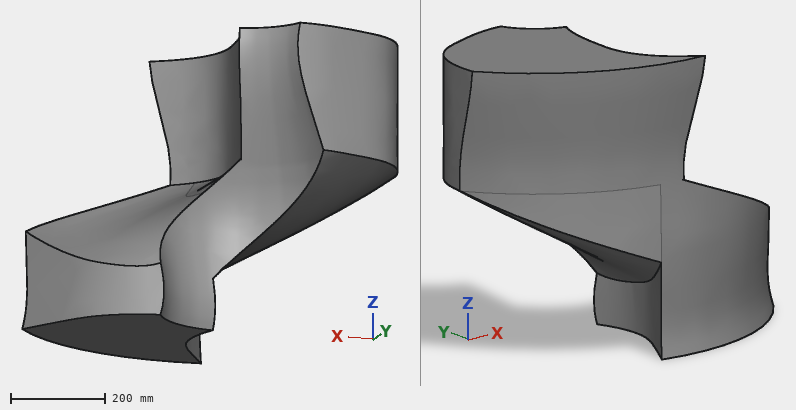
import cadquery as cq
import math

HEIGHT = 650.0
SHOULDER_Z = 378.0
HELIX_DROP = 3.4
HELIX_TURN = 95.0

AXIS_X = 10.0
AXIS_Y = 277.0

LOBE_ANGLE = 60.0

UPPER_WALL = [
    (119.0, -549.0), (44.0, -511.0), (-51.0, -423.0), (-72.0, -361.0), (-70.0, -290.5),
    (-28.0, -136.0), (12.0, -86.0),
]
LOWER_WALL = [
    (-103.0, -555.0), (-70.5, -501.0), (-16.5, -413.5), (25.0, -328.0), (29.5, -251.0),
    (14.0, -189.0), (-29.0, -107.0),
]

OUTER_WALL = [(507.0, 0), (499.0, 33.0), (498.0, 205.0), (485.0, 377.5), (485.0, 427.0), (498.0, 533.0), (512.0, HEIGHT)]
INNER_WALL = [(189.0, 0), (189.0, 115.0), (212.0, 213.0), (213.0, 295.0), (193.0, SHOULDER_Z), (139.0, HEIGHT)]


def turned(point, angle):
    """Turn a point about the ring axis."""
    x, y = point
    a = math.radians(angle)
    return (x * math.cos(a) - y * math.sin(a), x * math.sin(a) + y * math.cos(a))


def sector(wall, first, last, base=0.0):
    """Plan outline between two copies of a wall curve, turned by first and last degrees."""
    first_wall = [turned(p, first) for p in wall]
    last_wall = [turned(p, last) for p in wall]
    half_turn = (first + last) / 2
    return (
        cq.Workplane("XY", origin=(0, 0, base))
        .moveTo(*first_wall[0])
        .threePointArc(turned(wall[0], half_turn), last_wall[0])
        .spline(last_wall[1:], includeCurrent=True)
        .threePointArc(turned(wall[-1], half_turn), first_wall[-1])
        .spline(first_wall[-2::-1], includeCurrent=True)
        .close()
    )


def helical_sector(first, last):
    """Upper sector swept down from the shoulder while turning toward +X."""
    depth = HELIX_DROP * HELIX_TURN
    return sector(UPPER_WALL, first, last, SHOULDER_Z).twistExtrude(-depth, -HELIX_TURN)


def revolved_ring():
    section = (
        cq.Workplane("XZ")
        .moveTo(*OUTER_WALL[0])
        .spline(OUTER_WALL[1:], includeCurrent=True)
        .lineTo(*INNER_WALL[-1])
        .spline(INNER_WALL[-2::-1], includeCurrent=True)
        .close()
    )
    return section.revolve(360, (0, 0, 0), (0, 1, 0))


ring = revolved_ring()

upper_lobe = sector(UPPER_WALL, -LOBE_ANGLE, 0, SHOULDER_Z).extrude(HEIGHT - SHOULDER_Z).intersect(ring)

lower_lobe = sector(LOWER_WALL, 0, LOBE_ANGLE).extrude(SHOULDER_Z).intersect(ring)
lower_lobe = lower_lobe.cut(helical_sector(0, 2 * LOBE_ANGLE))

right_side = sector(LOWER_WALL, 0, 3 * LOBE_ANGLE).extrude(HEIGHT)
transition = helical_sector(-LOBE_ANGLE, 0).intersect(ring).cut(right_side)

body = upper_lobe.union(transition).union(lower_lobe).clean()
result = body.translate((AXIS_X, AXIS_Y, 0))